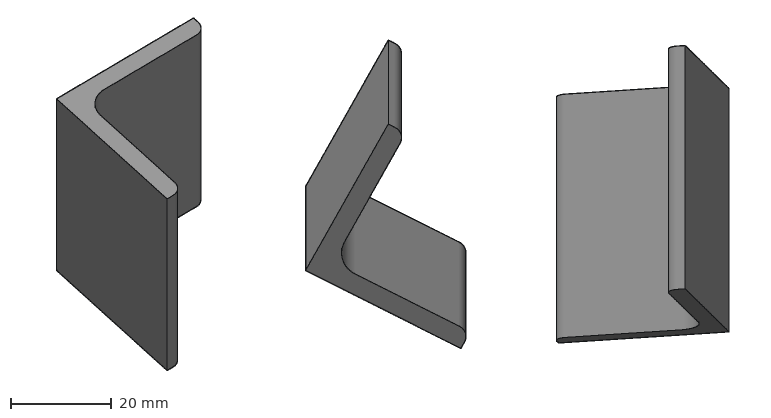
import cadquery as cq

length = 50.0
leg = 35.0
thickness = 4.0
root_radius = 5.0
toe_radius = 2.5

angle = (
    cq.Workplane("XY")
    .moveTo(0, 0)
    .lineTo(leg, 0)
    .lineTo(leg, thickness)
    .lineTo(thickness, thickness)
    .lineTo(thickness, leg)
    .lineTo(0, leg)
    .close()
    .extrude(length)
)


def round_edge(body, x, y, radius):
    """Fillet the vertical edge that stands at (x, y)."""
    edge = cq.selectors.NearestToPointSelector((x, y, length / 2))
    return body.edges("|Z").edges(edge).fillet(radius)


angle = round_edge(angle, thickness, thickness, root_radius)
angle = round_edge(angle, leg, thickness, toe_radius)
angle = round_edge(angle, thickness, leg, toe_radius)

result = angle